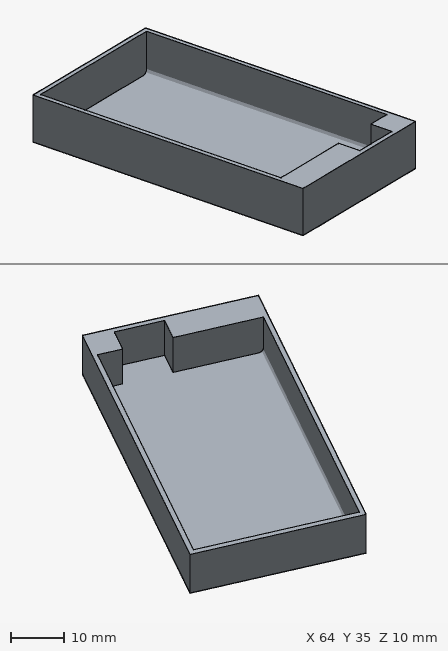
import cadquery as cq

length = 64.0
width = 35.0
height = 10.0
wall = 1.0
floor = wall
fillet_radius = 1.0

block_depth = 5.0
short_block_width = block_depth
long_block_width = 18.0

cavity_length = length - 2 * wall
cavity_width = width - 2 * wall
cavity_height = height - floor


def make_tray():
    """Open box whose floor is rounded into the two long walls."""
    body = cq.Workplane("XY").box(length, width, height, centered=(True, True, False))
    cavity = (
        cq.Workplane("XY", origin=(0, 0, floor))
        .box(cavity_length, cavity_width, cavity_height, centered=(True, True, False))
        .edges("|X and <Z")
        .fillet(fillet_radius)
    )
    return body.cut(cavity)


def make_corner_block(block_width, side):
    """Block in a +X corner; side is 1 for the +Y wall and -1 for the -Y wall."""
    center_x = (cavity_length - block_depth) / 2
    center_y = side * (cavity_width - block_width) / 2
    return cq.Workplane("XY", origin=(center_x, center_y, floor)).box(
        block_depth, block_width, cavity_height, centered=(True, True, False)
    )


result = (
    make_tray()
    .union(make_corner_block(short_block_width, 1), clean=False)
    .union(make_corner_block(long_block_width, -1), clean=False)
)